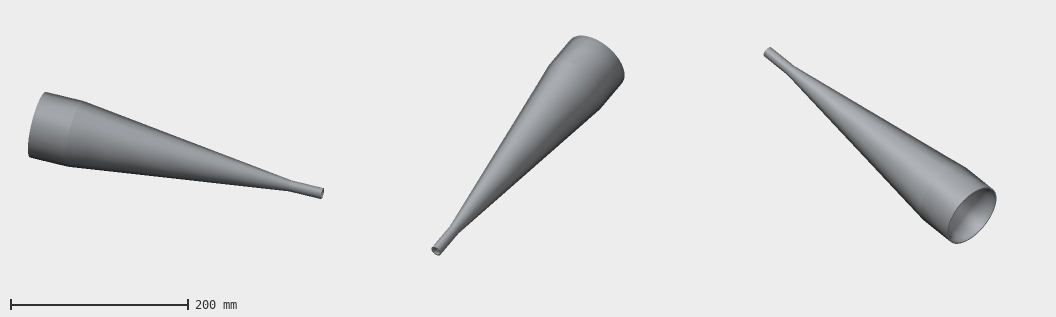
import cadquery as cq

large_diameter = 76.2
small_diameter = 12.7
wall = 1.65
large_end_length = 44.45
cone_length = 254.0
small_end_length = 38.1


def reducer_body(large_radius, small_radius):
    """Solid of revolution about X: large cylinder, cone, small cylinder."""
    cone_start = large_end_length
    cone_end = cone_start + cone_length
    total_length = cone_end + small_end_length
    profile = (
        cq.Workplane("XY")
        .moveTo(0, 0)
        .lineTo(0, large_radius)
        .lineTo(cone_start, large_radius)
        .lineTo(cone_end, small_radius)
        .lineTo(total_length, small_radius)
        .lineTo(total_length, 0)
        .close()
    )
    return profile.revolve(360, (0, 0, 0), (1, 0, 0))


outer_body = reducer_body(large_diameter / 2, small_diameter / 2)
bore = reducer_body(large_diameter / 2 - wall, small_diameter / 2 - wall)

result = outer_body.cut(bore)